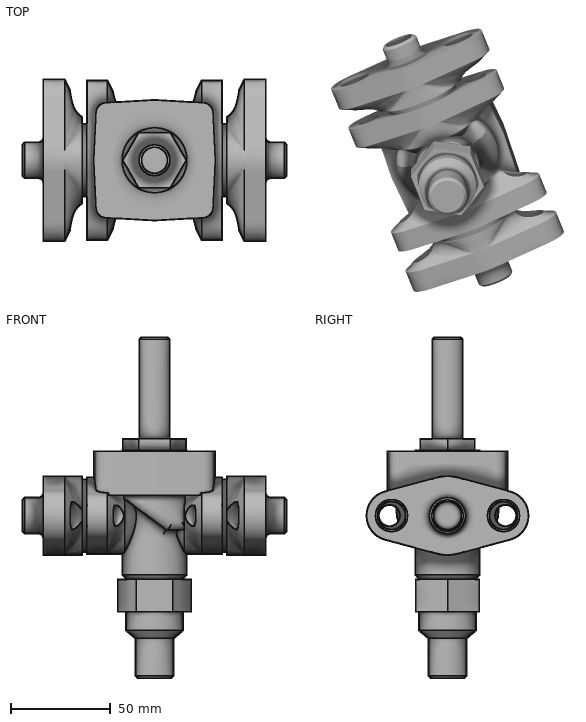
import cadquery as cq
import math


STEM_TOP = 89.4
STEM_RADIUS = 7.7
STEM_CHAMFER = 1.2
STEM_NUT_CORNER_RADIUS = 15.9
STEM_NUT_HEIGHT = 5.6

BLOCK_TOP = 32.3
BLOCK_BOTTOM = 10.1
BLOCK_RIDGE_X = 30.5
BLOCK_RIDGE_Y = 30.3
BLOCK_CORNER_X = 29.0
BLOCK_CORNER_Y = 28.5
BLOCK_CORNER_FILLET = 5.1
SEAT_HEIGHT = 0.5

BARREL_RADIUS = 16.2
BARREL_BOTTOM = -32.0
BARREL_CHAMFER = 2.4
CAP_HEX_CORNER_RADIUS = 18.5
CAP_HEX_BOTTOM = -48.2
COLLAR_RADIUS = 14.4
COLLAR_BOTTOM = -57.5
TAIL_RADIUS = 9.5
TAIL_TOP = -61.5
TOTAL_HEIGHT = 171
TAIL_BOTTOM = STEM_TOP - TOTAL_HEIGHT
TAIL_CHAMFER = 1.4

BULGE_RADIUS = 25.6
BULGE_HALF_WIDTH = 15.4
BULGE_HIGH_END = 8.5
BULGE_LOW_END = -7.2
BULGE_LOW_START_X = 6.0
BULGE_FILLET = 4.3
BULGE_FLARE = 2.5
BULGE_ROOT_FILLET = 3.5

ZONE_MARGIN = 0.2

BOLT_OFFSET = 28.0
TAPER_LENGTH = 8.7
TAPER_LOBE_RADIUS = 4.1
TAPER_LOBE_OFFSET = 18.5

PORT_FACE_X = 33.8
PORT_THICKNESS = 10.3
PORT_RADIUS = 19.3
PORT_LOBE_RADIUS = 11.0
PORT_LOBE_OFFSET = 29.0
PORT_HOLE_RADIUS = 5.3
ARM_END_X = 8.5
ARM_END_RADIUS = 12.8
TONGUE_RADIUS = 18.3
TONGUE_LENGTH = 2.4

FLANGE_INNER_X = PORT_FACE_X + TONGUE_LENGTH
FLANGE_THICKNESS = 10.8
FLANGE_RADIUS = 19.8
FLANGE_LENGTH = 81.2
FLANGE_LOBE_RADIUS = FLANGE_LENGTH / 2 - BOLT_OFFSET
FLANGE_HOLE_RADIUS = 7.0
FLANGE_HOLE_CHAMFER = 1.0
FLANGE_OUTER_X = FLANGE_INNER_X + TAPER_LENGTH + FLANGE_THICKNESS
OVERALL_WIDTH = 132.3
SPIGOT_TIP_X = OVERALL_WIDTH / 2
SPIGOT_RADIUS = 9.0
SPIGOT_FILLET = 2.4
SPIGOT_CHAMFER = 1.2
SPIGOT_BORE_RADIUS = 7.0
SPIGOT_BORE_DEPTH = 6.0


def lobed_outline(x, middle_radius, lobe_radius, lobe_offset):
    """Closed outline in the plane at x: a circle and two lobes joined by tangent lines."""
    sine = (middle_radius - lobe_radius) / lobe_offset
    cosine = math.sqrt(1 - sine**2)
    middle_y, middle_z = middle_radius * sine, middle_radius * cosine
    lobe_y, lobe_z = lobe_offset + lobe_radius * sine, lobe_radius * cosine
    tip_y = lobe_offset + lobe_radius
    return (
        cq.Workplane("YZ", origin=(x, 0, 0))
        .moveTo(-middle_y, middle_z)
        .threePointArc((0, middle_radius), (middle_y, middle_z))
        .lineTo(lobe_y, lobe_z)
        .threePointArc((tip_y, 0), (lobe_y, -lobe_z))
        .lineTo(middle_y, -middle_z)
        .threePointArc((0, -middle_radius), (-middle_y, -middle_z))
        .lineTo(-lobe_y, -lobe_z)
        .threePointArc((-tip_y, 0), (-lobe_y, lobe_z))
        .close()
    )


def lobed_taper(start_x, end_x, middle_radius, lobe_radius, lobe_offset):
    """Lobes shrinking toward the port axis between two planes, around a constant middle."""
    start = lobed_outline(start_x, middle_radius, lobe_radius, lobe_offset)
    end = lobed_outline(end_x, middle_radius, TAPER_LOBE_RADIUS, TAPER_LOBE_OFFSET)
    wires = [start.wire().val(), end.wire().val()]
    return cq.Workplane(cq.Solid.makeLoft(wires, True))


def x_cylinder(start_x, end_x, radius, y=0.0):
    """Cylinder parallel to the port axis between two planes."""
    return cq.Workplane("YZ", origin=(start_x, y, 0)).circle(radius).extrude(end_x - start_x)


def hexagon(bottom, top, corner_radius):
    """Upright hexagon prism with corners on the X axis."""
    return (
        cq.Workplane("XY", origin=(0, 0, bottom))
        .polygon(6, 2 * corner_radius)
        .extrude(top - bottom)
    )


def make_stem():
    """Round stem rising from its hexagon nut, which sits on the housing seat."""
    nut_bottom = BLOCK_TOP + SEAT_HEIGHT
    nut_top = nut_bottom + STEM_NUT_HEIGHT
    rod = (
        cq.Workplane("XY", origin=(0, 0, nut_top))
        .circle(STEM_RADIUS)
        .extrude(STEM_TOP - nut_top)
        .faces(">Z")
        .chamfer(STEM_CHAMFER)
    )
    return hexagon(nut_bottom, nut_top, STEM_NUT_CORNER_RADIUS).union(rod)


def make_block():
    """Square block with a ridge in the middle of each side and rounded corners."""
    outline = [
        (BLOCK_RIDGE_X, 0),
        (BLOCK_CORNER_X, BLOCK_CORNER_Y),
        (0, BLOCK_RIDGE_Y),
        (-BLOCK_CORNER_X, BLOCK_CORNER_Y),
        (-BLOCK_RIDGE_X, 0),
        (-BLOCK_CORNER_X, -BLOCK_CORNER_Y),
        (0, -BLOCK_RIDGE_Y),
        (BLOCK_CORNER_X, -BLOCK_CORNER_Y),
    ]
    block = (
        cq.Workplane("XY", origin=(0, 0, BLOCK_BOTTOM))
        .polyline(outline)
        .close()
        .extrude(BLOCK_TOP - BLOCK_BOTTOM)
    )
    corners = block.edges("|Z").edges("not (>X or <X or >Y or <Y)")
    return corners.fillet(BLOCK_CORNER_FILLET)


def make_barrel():
    """Revolved barrel from the seat under the stem nut down to the tail, with the cap hexagon."""
    profile = [
        (0, BLOCK_TOP + SEAT_HEIGHT),
        (BARREL_RADIUS, BLOCK_TOP + SEAT_HEIGHT),
        (BARREL_RADIUS, BARREL_BOTTOM + BARREL_CHAMFER),
        (BARREL_RADIUS - BARREL_CHAMFER, BARREL_BOTTOM),
        (COLLAR_RADIUS, CAP_HEX_BOTTOM),
        (COLLAR_RADIUS, COLLAR_BOTTOM),
        (TAIL_RADIUS, TAIL_TOP),
        (TAIL_RADIUS, TAIL_BOTTOM + TAIL_CHAMFER),
        (TAIL_RADIUS - TAIL_CHAMFER, TAIL_BOTTOM),
        (0, TAIL_BOTTOM),
    ]
    turned = cq.Workplane("XZ").polyline(profile).close().revolve(360, (0, 0), (0, 1))
    return turned.union(hexagon(CAP_HEX_BOTTOM, BARREL_BOTTOM, CAP_HEX_CORNER_RADIUS))


def make_bulge():
    """Wider cylinder flaring into the block, trimmed to a slanting, rounded lower edge."""
    flare_bottom = BLOCK_BOTTOM - BULGE_FLARE
    sag = BULGE_FLARE * (1 - math.sqrt(0.5))
    flare_middle = (BULGE_RADIUS + sag, BLOCK_BOTTOM - sag)
    turned = (
        cq.Workplane("XZ")
        .moveTo(0, BULGE_LOW_END)
        .lineTo(BULGE_RADIUS, BULGE_LOW_END)
        .lineTo(BULGE_RADIUS, flare_bottom)
        .threePointArc(flare_middle, (BULGE_RADIUS + BULGE_FLARE, BLOCK_BOTTOM))
        .lineTo(0, BLOCK_BOTTOM)
        .close()
        .revolve(360, (0, 0), (0, 1))
    )
    side_profile = [
        (-BULGE_HALF_WIDTH, BLOCK_BOTTOM),
        (-BULGE_HALF_WIDTH, BULGE_HIGH_END),
        (BULGE_LOW_START_X, BULGE_LOW_END),
        (BULGE_HALF_WIDTH, BULGE_LOW_END),
        (BULGE_HALF_WIDTH, BLOCK_BOTTOM),
    ]
    trim = cq.Workplane("XZ").polyline(side_profile).close().extrude(BULGE_RADIUS + BULGE_FLARE, both=True)
    bulge = turned.intersect(trim)
    rounded_edges = bulge.edges("not |Y").edges("not >Z").edges("not <X")
    return rounded_edges.fillet(BULGE_FILLET)


def make_port():
    """Right-hand port: lobed plate with two bolt holes, sealing tongue and an arm narrowing to the barrel."""
    plate_back = PORT_FACE_X - PORT_THICKNESS
    taper_end = plate_back - TAPER_LENGTH
    plate = lobed_outline(plate_back, PORT_RADIUS, PORT_LOBE_RADIUS, PORT_LOBE_OFFSET).extrude(PORT_THICKNESS)
    taper = lobed_taper(plate_back, taper_end, PORT_RADIUS, PORT_LOBE_RADIUS, PORT_LOBE_OFFSET)
    arm_profile = [
        (ARM_END_X, 0),
        (ARM_END_X, ARM_END_RADIUS),
        (taper_end, PORT_RADIUS),
        (taper_end, 0),
    ]
    arm = cq.Workplane("XY").polyline(arm_profile).close().revolve(360, (0, 0), (1, 0))
    tongue = x_cylinder(PORT_FACE_X, FLANGE_INNER_X, TONGUE_RADIUS)
    port = plate.union(taper)
    for y in (-PORT_LOBE_OFFSET, PORT_LOBE_OFFSET):
        port = port.cut(x_cylinder(taper_end, PORT_FACE_X, PORT_HOLE_RADIUS, y))
    return port.union(arm).union(tongue)


def make_housing():
    """Valve housing: block, barrel, bulge and a bolted port on each side."""
    port = make_port()
    housing = make_barrel().union(make_block()).union(make_bulge())
    root_zone = cq.selectors.BoxSelector(
        (-BARREL_RADIUS, -BARREL_RADIUS, BULGE_LOW_END - ZONE_MARGIN),
        (BARREL_RADIUS, BARREL_RADIUS, BULGE_HIGH_END),
    )
    roots = housing.edges("%ELLIPSE or %CIRCLE").edges(root_zone)
    housing = roots.fillet(BULGE_ROOT_FILLET)
    housing = housing.union(port).union(port.mirror("YZ"))
    return housing


def make_spigot():
    """Pipe spigot flared where it meets the flange and chamfered at its tip."""
    flare_start = (FLANGE_OUTER_X, SPIGOT_RADIUS + SPIGOT_FILLET)
    flare_end = (FLANGE_OUTER_X + SPIGOT_FILLET, SPIGOT_RADIUS)
    sag = SPIGOT_FILLET * (1 - math.sqrt(0.5))
    flare_middle = (FLANGE_OUTER_X + sag, SPIGOT_RADIUS + sag)
    return (
        cq.Workplane("XY")
        .moveTo(FLANGE_OUTER_X, 0)
        .lineTo(*flare_start)
        .threePointArc(flare_middle, flare_end)
        .lineTo(SPIGOT_TIP_X - SPIGOT_CHAMFER, SPIGOT_RADIUS)
        .lineTo(SPIGOT_TIP_X, SPIGOT_RADIUS - SPIGOT_CHAMFER)
        .lineTo(SPIGOT_TIP_X, 0)
        .close()
        .revolve(360, (0, 0), (1, 0))
    )


def make_hole_mouth(y):
    """Conical countersink of a flange bolt hole, used as a cutter."""
    mouth_start = FLANGE_OUTER_X - FLANGE_HOLE_CHAMFER
    mouth_radius = FLANGE_HOLE_RADIUS + FLANGE_HOLE_CHAMFER
    return cq.Workplane(
        cq.Solid.makeCone(
            FLANGE_HOLE_RADIUS,
            mouth_radius,
            FLANGE_HOLE_CHAMFER,
            pnt=cq.Vector(mouth_start, y, 0),
            dir=cq.Vector(1, 0, 0),
        )
    )


def make_flange():
    """Right-hand pipe flange with two bolt holes and a bored spigot."""
    plate_back = FLANGE_INNER_X + TAPER_LENGTH
    plate = lobed_outline(plate_back, FLANGE_RADIUS, FLANGE_LOBE_RADIUS, BOLT_OFFSET).extrude(FLANGE_THICKNESS)
    flange = plate.union(lobed_taper(plate_back, FLANGE_INNER_X, FLANGE_RADIUS, FLANGE_LOBE_RADIUS, BOLT_OFFSET))
    flange = flange.union(make_spigot())
    for y in (-BOLT_OFFSET, BOLT_OFFSET):
        hole = x_cylinder(FLANGE_INNER_X, FLANGE_OUTER_X, FLANGE_HOLE_RADIUS, y)
        flange = flange.cut(hole).cut(make_hole_mouth(y))
    bore = x_cylinder(SPIGOT_TIP_X - SPIGOT_BORE_DEPTH, SPIGOT_TIP_X, SPIGOT_BORE_RADIUS)
    return flange.cut(bore)


housing = make_housing()
stem = make_stem()
right_flange = make_flange()
flanges = [right_flange, right_flange.mirror("YZ")]

result = cq.Compound.makeCompound(
    [housing.val(), stem.val()] + [flange.val() for flange in flanges]
)